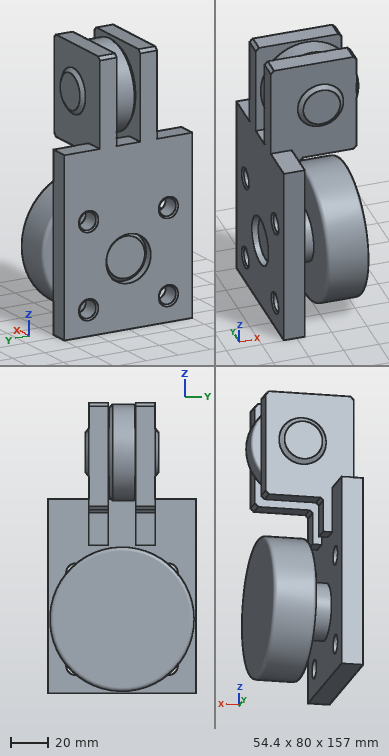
import cadquery as cq

PLATE_THICKNESS = 12.0
PLATE_WIDTH = 80
PLATE_HEIGHT = 105.0

HOLE_RADIUS = 5.2
HOLE_CHAMFER = 1.0
HOLE_SPACING = 50.0

WHEEL_Z = 40.0
WHEEL_RADIUS = 39.0
WHEEL_WIDTH = 24.0
WHEEL_END_X = 49.3
WHEEL_ROUND = 2.0
AXLE_RADIUS = 15.7
AXLE_BORE_RADIUS = 14.0
AXLE_CHAMFER = 2.0
AXLE_RECESS = 3.0

ARM_TOP = 157
ARM_REACH = 49.0
ARM_HEAD_BOTTOM = 99.0
ARM_LEG_BOTTOM = 80
ARM_LEG_REACH = 17.0
ARM_THICKNESS = 10.5
ARM_GAP = 14.8
ARM_CHAMFER = 1.9
ARM_INNER_CHAMFER = 1.5
ARM_OUTER_Y = ARM_GAP / 2 + ARM_THICKNESS

ROLLER_X = 28.4
ROLLER_Z = 130.2
ROLLER_RADIUS = 26.0
ROLLER_WIDTH = 14.1
ROLLER_CHAMFER = 2.0
ROLLER_ROUND = 1.1
PIN_RADIUS = 13.0
PIN_PROJECTION = 2.0
PIN_CHAMFER = 2.5


def disc_along_x(radius, start_x, length):
    """Cylinder on the wheel axis, growing toward +X."""
    return cq.Workplane("YZ", origin=(start_x, 0, WHEEL_Z)).circle(radius).extrude(length)


def disc_along_y(radius, width):
    """Cylinder on the roller axis, centred on Y = 0."""
    plane = cq.Workplane("XZ", origin=(ROLLER_X, 0, ROLLER_Z))
    return plane.circle(radius).extrude(width / 2, both=True)


def make_plate():
    plate = cq.Workplane("XY").box(
        PLATE_THICKNESS, PLATE_WIDTH, PLATE_HEIGHT, centered=(False, True, False)
    )
    holes = (
        cq.Workplane("YZ", origin=(0, 0, WHEEL_Z))
        .rect(HOLE_SPACING, HOLE_SPACING, forConstruction=True)
        .vertices()
        .circle(HOLE_RADIUS)
        .extrude(PLATE_THICKNESS)
    )
    plate = plate.cut(holes)
    return plate.faces("<X").edges("%CIRCLE").chamfer(HOLE_CHAMFER)


def make_arm(start_y):
    """Side arm whose profile starts at start_y and thickens toward +Y."""
    return (
        cq.Workplane("XZ", origin=(0, start_y, 0))
        .moveTo(0, ARM_LEG_BOTTOM)
        .lineTo(ARM_LEG_REACH, ARM_LEG_BOTTOM)
        .lineTo(ARM_LEG_REACH, ARM_HEAD_BOTTOM - ARM_INNER_CHAMFER)
        .line(ARM_INNER_CHAMFER, ARM_INNER_CHAMFER)
        .lineTo(ARM_REACH - ARM_CHAMFER, ARM_HEAD_BOTTOM)
        .line(ARM_CHAMFER, ARM_CHAMFER)
        .lineTo(ARM_REACH, ARM_TOP - ARM_CHAMFER)
        .line(-ARM_CHAMFER, ARM_CHAMFER)
        .lineTo(ARM_CHAMFER, ARM_TOP)
        .line(-ARM_CHAMFER, -ARM_CHAMFER)
        .close()
        .extrude(-ARM_THICKNESS)
    )


def make_roller():
    roller = disc_along_y(ROLLER_RADIUS, ROLLER_WIDTH)
    roller = roller.faces("<Y").edges().chamfer(ROLLER_CHAMFER)
    return roller.faces(">Y").edges().fillet(ROLLER_ROUND)


def make_pin():
    pin = disc_along_y(PIN_RADIUS, 2 * (ARM_OUTER_Y + PIN_PROJECTION))
    return pin.faces("<Y or >Y").edges().chamfer(PIN_PROJECTION, PIN_CHAMFER)


def make_wheel():
    """Wheel with the stub axle that spaces it from the plate."""
    wheel_start = WHEEL_END_X - WHEEL_WIDTH
    wheel = disc_along_x(WHEEL_RADIUS, wheel_start, WHEEL_WIDTH).edges().fillet(WHEEL_ROUND)
    return wheel.union(disc_along_x(AXLE_RADIUS, PLATE_THICKNESS, wheel_start - PLATE_THICKNESS))


def make_axle_end():
    """Chamfered axle end set back inside its bore in the plate."""
    length = PLATE_THICKNESS - AXLE_RECESS
    axle_end = disc_along_x(AXLE_BORE_RADIUS, AXLE_RECESS, length)
    return axle_end.faces("<X").edges().chamfer(AXLE_CHAMFER)


plate = make_plate().cut(disc_along_x(AXLE_BORE_RADIUS, 0, PLATE_THICKNESS))
result = plate.union(make_axle_end()).union(make_wheel())
for start_y in (-ARM_OUTER_Y, ARM_GAP / 2):
    result = result.union(make_arm(start_y))
result = result.union(make_pin()).union(make_roller())